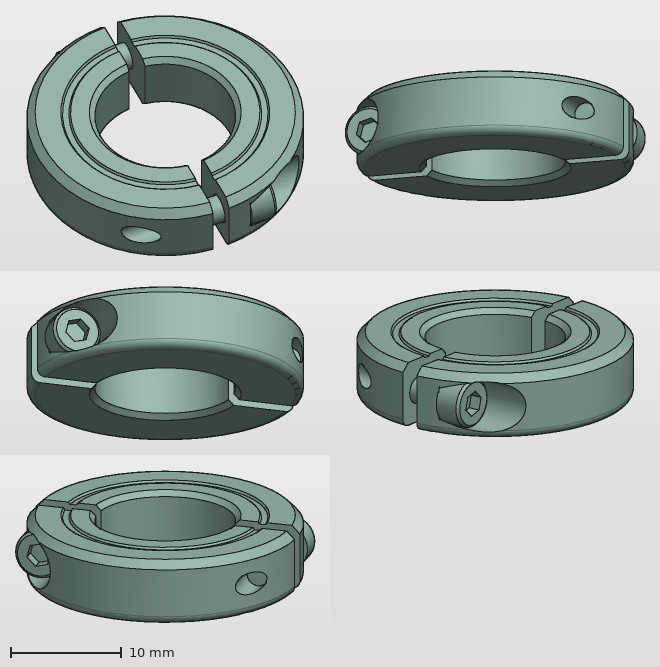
import cadquery as cq
import math


outer_radius = 12.48
bore_radius = 6.34
height = 6.0
outer_edge = 0.75
bore_chamfer = 0.5
split_gap = 1.57

groove_inner_radius = 8.53
groove_outer_radius = 9.4
groove_depth = 0.2
groove_wall_width = 0.15

screw_offset = 10.23
head_diameter = 4.5
head_height = 2.5
head_chamfer = 0.25
shank_diameter = 2.5
shank_length = 7.85
socket_across_flats = 2.0
socket_depth = 1.12
socket_turn = 15.0

seat_distance = 3.05
counterbore_diameter = 4.75
clearance_diameter = 2.72
tapped_diameter = 2.05


def ring():
    """Full ring, revolved from its radial section."""
    top = height / 2
    bottom = -top
    fillet_mid = outer_edge * (1 - math.sqrt(0.5))
    section = (
        cq.Workplane("XZ")
        .moveTo(bore_radius + bore_chamfer, bottom)
        .lineTo(outer_radius - outer_edge, bottom)
        .threePointArc(
            (outer_radius - fillet_mid, bottom + fillet_mid),
            (outer_radius, bottom + outer_edge),
        )
        .lineTo(outer_radius, top - outer_edge)
        .lineTo(outer_radius - outer_edge, top)
        .lineTo(groove_outer_radius, top)
        .lineTo(groove_outer_radius - groove_wall_width, top - groove_depth)
        .lineTo(groove_inner_radius + groove_wall_width, top - groove_depth)
        .lineTo(groove_inner_radius, top)
        .lineTo(bore_radius + bore_chamfer, top)
        .lineTo(bore_radius, top - bore_chamfer)
        .lineTo(bore_radius, bottom + bore_chamfer)
        .close()
    )
    return section.revolve(360, (0, 0, 0), (0, 1, 0))


def rod(diameter, start_y, end_y):
    """Cylinder on the axis of the screw at -X, between two Y positions."""
    plane = cq.Plane(origin=(-screw_offset, start_y, 0), xDir=(1, 0, 0), normal=(0, 1, 0))
    return cq.Workplane(plane).circle(diameter / 2).extrude(end_y - start_y)


def screw_hole():
    """Counterbore and clearance hole in the -Y half, tapped hole through the +Y half."""
    counterbore = rod(counterbore_diameter, -outer_radius, -seat_distance)
    clearance = rod(clearance_diameter, -seat_distance, 0)
    tapped = rod(tapped_diameter, 0, outer_radius)
    return counterbore.union(clearance).union(tapped)


def screw():
    """Socket head cap screw with its head towards -Y."""
    head_top = -seat_distance - head_height
    head = rod(head_diameter, head_top, -seat_distance).faces("<Y").chamfer(head_chamfer)
    shank = rod(shank_diameter, -seat_distance, shank_length - seat_distance)
    socket_plane = cq.Plane(origin=(-screw_offset, head_top, 0), xDir=(1, 0, 0), normal=(0, 1, 0))
    socket = (
        cq.Workplane(socket_plane)
        .transformed(rotate=(0, 0, socket_turn))
        .polygon(6, socket_across_flats, circumscribed=True)
        .extrude(socket_depth)
    )
    return head.union(shank).cut(socket)


def both_sides(feature):
    """The feature and its copy turned half a revolution about the collar axis."""
    return [feature, feature.rotate((0, 0, 0), (0, 0, 1), 180)]


def split():
    """Slab that parts the ring into its two halves."""
    return cq.Workplane("XY").box(2 * outer_radius, split_gap, height)


collar = ring().cut(split())
for hole in both_sides(screw_hole()):
    collar = collar.cut(hole)
for fastener in both_sides(screw()):
    collar = collar.union(fastener)

result = collar